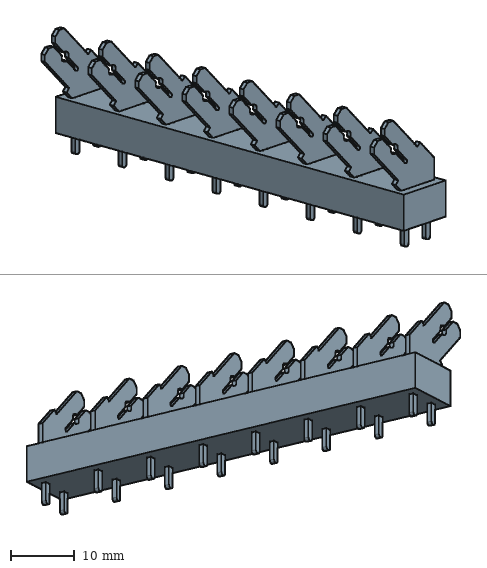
import cadquery as cq
import math

HOUSING_LENGTH = 74.0
HOUSING_WIDTH = 9.85
HOUSING_HEIGHT = 6.0

TERMINAL_COUNT = 8
TERMINAL_PITCH = 10.0
TERMINAL_THICKNESS = 0.8

PIN_WIDTH = 1.0
PIN_SPACING = 5.0
BACK_PIN_OFFSET = 2.4
PIN_PROJECTION = 3.55
PIN_CENTRES = (-BACK_PIN_OFFSET, -BACK_PIN_OFFSET - PIN_SPACING)

LEAN_ANGLE = math.radians(45.0)
ROOT_BACK = -0.9
ROOT_BEND_HEIGHT = 9.6
ROOT_BAND_WIDTH = 8.1
ROOT_BACK_EDGE = 4.7

FORK_LENGTH = 8.8
FORK_WIDTH = 6.4
TINE_CHAMFER = 0.8
SLOT_WIDTH = 0.6
SLOT_END_CENTRE = 0.7
WIRE_HOLE_DIAMETER = 1.6
WIRE_HOLE_CENTRE = 4.45
TINE_WIDTH = (FORK_WIDTH - SLOT_WIDTH) / 2
TINE_CENTRE = (TINE_WIDTH + SLOT_WIDTH) / 2

FORWARD_Y = -math.sin(LEAN_ANGLE)
FORWARD_Z = math.cos(LEAN_ANGLE)

BACK_SHOULDER_Y = ROOT_BACK + ROOT_BACK_EDGE * FORWARD_Y
BACK_SHOULDER_Z = ROOT_BEND_HEIGHT + ROOT_BACK_EDGE * FORWARD_Z
FRONT_SHOULDER_Y = BACK_SHOULDER_Y - ROOT_BAND_WIDTH * FORWARD_Z
FRONT_SHOULDER_Z = BACK_SHOULDER_Z + ROOT_BAND_WIDTH * FORWARD_Y
SHOULDER_MIDDLE_Y = (BACK_SHOULDER_Y + FRONT_SHOULDER_Y) / 2
SHOULDER_MIDDLE_Z = (BACK_SHOULDER_Z + FRONT_SHOULDER_Z) / 2


def upright_plane():
    """YZ plane on the -X side face of a terminal centred at X = 0."""
    return cq.Workplane("YZ", origin=(-TERMINAL_THICKNESS / 2, 0, 0))


def fork_plane():
    """Plane on the +X side face: local X runs along the fork, local Y across it, up and back."""
    origin = (TERMINAL_THICKNESS / 2, SHOULDER_MIDDLE_Y, SHOULDER_MIDDLE_Z)
    plane = cq.Plane(origin=origin, xDir=(0, FORWARD_Y, FORWARD_Z), normal=(-1, 0, 0))
    return cq.Workplane(plane)


def make_root():
    """Plate between the top of the housing and the shoulders of the fork."""
    front_edge_drop = FRONT_SHOULDER_Z - HOUSING_HEIGHT
    foot_front = FRONT_SHOULDER_Y - front_edge_drop * FORWARD_Y / FORWARD_Z
    outline = [
        (ROOT_BACK, HOUSING_HEIGHT),
        (ROOT_BACK, ROOT_BEND_HEIGHT),
        (BACK_SHOULDER_Y, BACK_SHOULDER_Z),
        (FRONT_SHOULDER_Y, FRONT_SHOULDER_Z),
        (foot_front, HOUSING_HEIGHT),
    ]
    return upright_plane().polyline(outline).close().extrude(TERMINAL_THICKNESS)


def make_fork():
    """Two tines with chamfered tips, starting from a solid strip behind the slot."""
    strip_length = SLOT_END_CENTRE + SLOT_WIDTH
    fork = (
        fork_plane()
        .center(strip_length / 2, 0)
        .rect(strip_length, FORK_WIDTH)
        .extrude(TERMINAL_THICKNESS)
    )
    for side in (-1, 1):
        tine = (
            fork_plane()
            .center(FORK_LENGTH / 2, side * TINE_CENTRE)
            .rect(FORK_LENGTH, TINE_WIDTH)
            .extrude(TERMINAL_THICKNESS)
        )
        tip = cq.selectors.DirectionMinMaxSelector(cq.Vector(0, FORWARD_Y, FORWARD_Z))
        tine = tine.faces(tip).edges("|X").chamfer(TINE_CHAMFER)
        fork = fork.union(tine)
    return fork


def cut_fork_slot(terminal):
    """Cut the round-ended slot between the tines and the wire hole across it."""
    slot_length = FORK_LENGTH - SLOT_END_CENTRE
    slot = (
        fork_plane()
        .center(SLOT_END_CENTRE + slot_length / 2, 0)
        .rect(slot_length, SLOT_WIDTH)
        .extrude(TERMINAL_THICKNESS)
    )
    slot_end = (
        fork_plane().center(SLOT_END_CENTRE, 0).circle(SLOT_WIDTH / 2).extrude(TERMINAL_THICKNESS)
    )
    wire_hole = (
        fork_plane()
        .center(WIRE_HOLE_CENTRE, 0)
        .circle(WIRE_HOLE_DIAMETER / 2)
        .extrude(TERMINAL_THICKNESS)
    )
    return terminal.cut(slot).cut(slot_end).cut(wire_hole)


def make_pin(centre):
    """Solder pin from the root down through the housing, with a round lower end."""
    radius = PIN_WIDTH / 2
    return (
        upright_plane()
        .moveTo(centre - radius, HOUSING_HEIGHT)
        .lineTo(centre - radius, radius - PIN_PROJECTION)
        .threePointArc((centre, -PIN_PROJECTION), (centre + radius, radius - PIN_PROJECTION))
        .lineTo(centre + radius, HOUSING_HEIGHT)
        .close()
        .extrude(TERMINAL_THICKNESS)
    )


def make_terminal(x):
    """One terminal centred at x: root, clamping fork and two solder pins."""
    terminal = cut_fork_slot(make_root().union(make_fork()))
    for centre in PIN_CENTRES:
        terminal = terminal.union(make_pin(centre))
    return terminal.translate((x, 0, 0))


def make_housing(terminal_places):
    """Bar with a rectangular through hole for every solder pin."""
    housing = cq.Workplane("XY").box(
        HOUSING_LENGTH, HOUSING_WIDTH, HOUSING_HEIGHT, centered=(True, True, False)
    )
    housing = housing.translate((0, -HOUSING_WIDTH / 2, 0))
    hole_places = [(x, y) for x in terminal_places for y in PIN_CENTRES]
    holes = (
        cq.Workplane("XY")
        .pushPoints(hole_places)
        .rect(TERMINAL_THICKNESS, PIN_WIDTH)
        .extrude(HOUSING_HEIGHT)
    )
    return housing.cut(holes)


row_middle = (TERMINAL_COUNT - 1) / 2
terminal_places = [(i - row_middle) * TERMINAL_PITCH for i in range(TERMINAL_COUNT)]

housing = make_housing(terminal_places)
terminals = [make_terminal(x) for x in terminal_places]

result = cq.Compound.makeCompound([housing.val(), *[terminal.val() for terminal in terminals]])